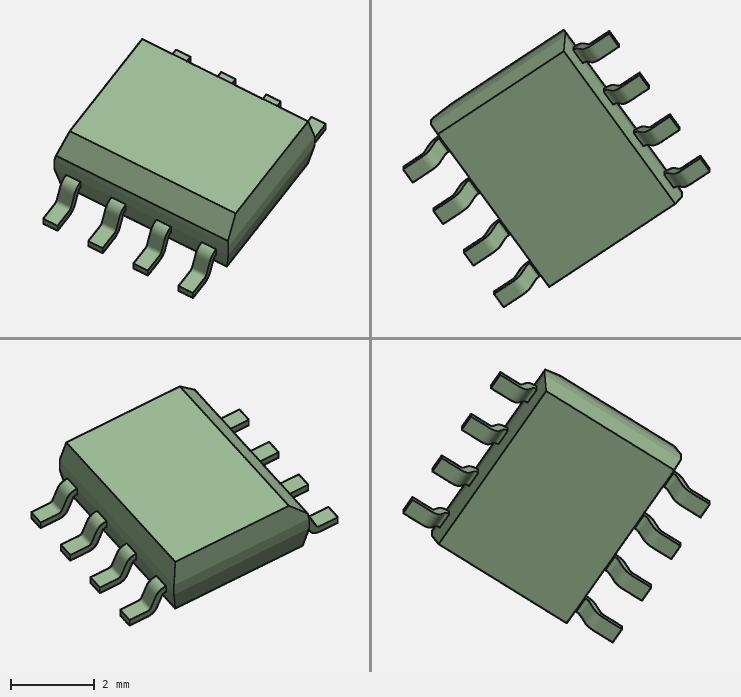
import cadquery as cq
import math

LEAD_SPAN = 6.0
TOTAL_HEIGHT = 1.75

BODY_X = 4.91
BODY_Y = 3.9
STANDOFF = 0.1
BELT_HEIGHT = 0.34
DRAFT_ANGLE = 10.0
BEVEL_SIZE = 0.515

LEADS_PER_SIDE = 4
LEAD_PITCH = 1.27
LEAD_WIDTH = 0.41
LEAD_THICKNESS = 0.2
INNER_RADIUS = 0.1
STUB_LENGTH = 0.02
LEG_ANGLE = 66.0

UP = 90
DOWN = 270
REVERSE = 180

taper_height = (TOTAL_HEIGHT - STANDOFF - BELT_HEIGHT) / 2
belt_bottom = STANDOFF + taper_height
belt_top = belt_bottom + BELT_HEIGHT
body_face = BODY_Y / 2
lead_tip = LEAD_SPAN / 2
lead_top = belt_bottom
outer_radius = INNER_RADIUS + LEAD_THICKNESS


def make_housing():
    """Belt with a drafted block above and below it, bevelled along its -Y top edge."""
    belt = cq.Workplane("XY").workplane(offset=belt_bottom).rect(BODY_X, BODY_Y).extrude(BELT_HEIGHT)
    upper = (
        cq.Workplane("XY").workplane(offset=belt_top)
        .rect(BODY_X, BODY_Y)
        .extrude(taper_height, taper=DRAFT_ANGLE)
    )
    lower = upper.mirror("XY", (0, 0, (belt_bottom + belt_top) / 2))
    bevel = (
        cq.Workplane("YZ")
        .moveTo(-body_face, TOTAL_HEIGHT)
        .lineTo(-body_face + BEVEL_SIZE, TOTAL_HEIGHT)
        .lineTo(-body_face, TOTAL_HEIGHT - BEVEL_SIZE)
        .close()
        .extrude(BODY_X / 2, both=True)
    )
    return belt.union(upper).union(lower).cut(bevel)


def arc_point(center, radius, degrees):
    """Point on a circle in the YZ plane, with the angle counted from +Y towards +Z."""
    angle = math.radians(degrees)
    return (center[0] + radius * math.cos(angle), center[1] + radius * math.sin(angle))


def make_lead(x_center, side):
    """Gull-wing lead centred on x_center; side is +1 or -1 for the +Y or -Y row."""
    turn = math.radians(LEG_ANGLE)
    bends_drop = (outer_radius + INNER_RADIUS) * (1 - math.cos(turn))
    leg_drop = lead_top - LEAD_THICKNESS - bends_drop
    leg_run = leg_drop / math.tan(turn)
    bends_run = (outer_radius + INNER_RADIUS) * math.sin(turn)

    shoulder = (body_face + STUB_LENGTH, lead_top - outer_radius)
    ankle = (shoulder[0] + bends_run + leg_run, outer_radius)
    leg_outward = UP - LEG_ANGLE
    leg_inward = leg_outward + REVERSE
    shoulder_middle = (UP + leg_outward) / 2
    ankle_middle = (DOWN + leg_inward) / 2

    profile = (
        cq.Workplane("YZ")
        .moveTo(body_face, lead_top)
        .lineTo(shoulder[0], lead_top)
        .threePointArc(
            arc_point(shoulder, outer_radius, shoulder_middle),
            arc_point(shoulder, outer_radius, leg_outward),
        )
        .lineTo(*arc_point(ankle, INNER_RADIUS, leg_inward))
        .threePointArc(
            arc_point(ankle, INNER_RADIUS, ankle_middle),
            arc_point(ankle, INNER_RADIUS, DOWN),
        )
        .lineTo(lead_tip, LEAD_THICKNESS)
        .lineTo(lead_tip, 0)
        .lineTo(ankle[0], 0)
        .threePointArc(
            arc_point(ankle, outer_radius, ankle_middle),
            arc_point(ankle, outer_radius, leg_inward),
        )
        .lineTo(*arc_point(shoulder, INNER_RADIUS, leg_outward))
        .threePointArc(
            arc_point(shoulder, INNER_RADIUS, shoulder_middle),
            arc_point(shoulder, INNER_RADIUS, UP),
        )
        .lineTo(body_face, lead_top - LEAD_THICKNESS)
        .close()
    )
    lead = profile.extrude(LEAD_WIDTH / 2, both=True)
    if side < 0:
        lead = lead.mirror("XZ")
    return lead.translate((x_center, 0, 0))


housing = make_housing()

leads = []
for side in (1, -1):
    for index in range(LEADS_PER_SIDE):
        x_center = (index - (LEADS_PER_SIDE - 1) / 2) * LEAD_PITCH
        leads.append(make_lead(x_center, side))

result = cq.Compound.makeCompound([housing.val(), *[lead.val() for lead in leads]])